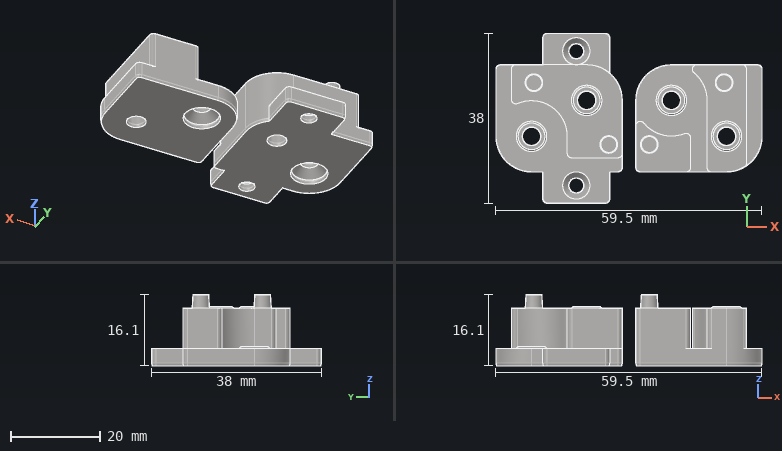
import cadquery as cq
import math

TOTAL_LENGTH = 59.55
HALF_LENGTH = 28.3
PLATE_WIDTH = 24.0
BASE_HEIGHT = 4.0
BLOCK_TOP = 13.0

PIVOT_RADIUS = 8.0
CORNER_RADIUS = 1.0
CHAMFER_HEIGHT = 0.7
CHAMFER_INSET = 0.2

BORE_RADIUS = 2.0
LIP_RADIUS = 2.1
BOSS_FOOT_RADIUS = 3.4
BOSS_TOP_RADIUS = 3.0
BOSS_HEIGHT = 0.4
HEAD_RADIUS = 4.0
HEAD_SEAT_DEPTH = 1.0

PIN_FOOT_RADIUS = 1.95
PIN_TOP_RADIUS = 1.8
PIN_HEIGHT = 3.05
UPPER_PIN_Y = 8.0
LOWER_PIN_Y = -5.85
UPPER_PIN_INSET = 8.5
LOWER_PIN_INSET = 3.05

TAB_WIDTH = 15.0
TAB_CENTER_X = 18.0
TAB_END_Y = 19.0
TAB_HOLE_Y = 15.0
TAB_HOLE_DIAMETER = 3.3
SINK_RADIUS = 3.05
SINK_STRAIGHT_DEPTH = 0.7

LEFT_BLOCK_INSET = 3.45
LEFT_BLOCK_FRONT_Y = -8.8
INNER_BLOCK_LENGTH = 12.25
OUTER_BLOCK_INSET = 3.5

SIDE_Y = PLATE_WIDTH / 2
TAB_HOLE_RADIUS = TAB_HOLE_DIAMETER / 2
RIGHT_START = TOTAL_LENGTH - HALF_LENGTH
BLOCK_HEIGHT = BLOCK_TOP - BASE_HEIGHT
PIVOT_Y = SIDE_Y - PIVOT_RADIUS
LEFT_BASE_PIVOT = (PIVOT_RADIUS, -PIVOT_Y)
LEFT_BLOCK_PIVOT = (HALF_LENGTH - PIVOT_RADIUS, PIVOT_Y)
RIGHT_BASE_PIVOT = (RIGHT_START + PIVOT_RADIUS, PIVOT_Y)
RIGHT_BLOCK_PIVOT = (TOTAL_LENGTH - PIVOT_RADIUS, -PIVOT_Y)


def round_upright_edges(solid, points, radius):
    """Fillet the upright edges that stand at the given plan points."""
    mid_z = solid.val().Center().z
    for x, y in points:
        edge = cq.selectors.NearestToPointSelector((x, y, mid_z))
        solid = solid.edges("|Z").edges(edge).fillet(radius)
    return solid


def plate(start_x, round_corners, small_corners):
    """Rectangular base plate with two large and two small corner radii."""
    body = cq.Workplane("XY").box(HALF_LENGTH, PLATE_WIDTH, BASE_HEIGHT, centered=(False, True, False))
    body = body.translate((start_x, 0, 0))
    body = round_upright_edges(body, round_corners, PIVOT_RADIUS)
    return round_upright_edges(body, small_corners, CORNER_RADIUS)


def tab_strip():
    """Strip across the left plate whose two ends form the mounting tabs."""
    strip = cq.Workplane("XY").box(TAB_WIDTH, 2 * TAB_END_Y, BASE_HEIGHT, centered=(True, True, False))
    return strip.translate((TAB_CENTER_X, 0, 0)).edges("|Z").fillet(CORNER_RADIUS)


def chamfer_underside(body):
    """Steep narrow chamfer all round the bottom edge."""
    return body.faces("<Z").edges().chamfer(CHAMFER_HEIGHT, CHAMFER_INSET)


def turned(profile, place, z):
    """Solid of revolution about an upright axis, from (radius, height) points."""
    solid = cq.Workplane("XZ").polyline(profile).close().revolve(360, (0, 0), (0, 1))
    return solid.translate((place[0], place[1], z))


def flared_foot(radius):
    """Profile points of a round opening that widens at the underside like the outer chamfer."""
    return [(0, 0), (radius + CHAMFER_INSET, 0), (radius, CHAMFER_HEIGHT)]


def add_boss(body, pivot, floor_z):
    """Raised conical boss with a bore through everything below it."""
    boss_profile = [(0, 0), (BOSS_FOOT_RADIUS, 0), (BOSS_TOP_RADIUS, BOSS_HEIGHT), (0, BOSS_HEIGHT)]
    boss = turned(boss_profile, pivot, floor_z)
    boss_top = floor_z + BOSS_HEIGHT
    bore_profile = flared_foot(BORE_RADIUS) + [
        (BORE_RADIUS, floor_z),
        (LIP_RADIUS, boss_top),
        (0, boss_top),
    ]
    bore = turned(bore_profile, pivot, 0)
    return body.union(boss).cut(bore)


def cut_head_recess(body, pivot):
    """Screw head recess in the underside, closing to the bore with a 45 degree cone."""
    cone_top = HEAD_SEAT_DEPTH + HEAD_RADIUS - BORE_RADIUS
    profile = flared_foot(HEAD_RADIUS) + [
        (HEAD_RADIUS, HEAD_SEAT_DEPTH),
        (BORE_RADIUS, cone_top),
        (0, cone_top),
    ]
    return body.cut(turned(profile, pivot, 0))


def pin(place):
    """Tapered locating pin standing on a block."""
    profile = [(0, 0), (PIN_FOOT_RADIUS, 0), (PIN_TOP_RADIUS, PIN_HEIGHT), (0, PIN_HEIGHT)]
    return turned(profile, place, BLOCK_TOP)


def socket(place):
    """Tapered blind hole that takes the pin of the other half."""
    profile = [(0, 0), (PIN_FOOT_RADIUS, 0), (PIN_TOP_RADIUS, -PIN_HEIGHT), (0, -PIN_HEIGHT)]
    return turned(profile, place, BLOCK_TOP)


def tab_hole(y):
    """Countersunk screw hole with a short straight entry above its cone."""
    sink_z = BASE_HEIGHT - SINK_STRAIGHT_DEPTH
    cone_bottom = sink_z - (SINK_RADIUS - TAB_HOLE_RADIUS)
    profile = flared_foot(TAB_HOLE_RADIUS) + [
        (TAB_HOLE_RADIUS, cone_bottom),
        (SINK_RADIUS, sink_z),
        (SINK_RADIUS, BASE_HEIGHT),
        (0, BASE_HEIGHT),
    ]
    return turned(profile, (TAB_CENTER_X, y), 0)


def point_on_circle(center, radius, degrees):
    """Plan point of a circle, at an angle measured from +X."""
    angle = math.radians(degrees)
    return (center[0] + radius * math.cos(angle), center[1] + radius * math.sin(angle))


def on_pivot_circle(pivot, degrees):
    """Point of the arm clearance circle around a pivot."""
    return point_on_circle(pivot, PIVOT_RADIUS, degrees)


def left_block():
    """L-shaped block wrapped around the clearance of the left base pivot."""
    pivot_x, pivot_y = LEFT_BASE_PIVOT
    inner_x = pivot_x + PIVOT_RADIUS
    arc_end_y = pivot_y + math.sqrt(PIVOT_RADIUS**2 - (pivot_x - LEFT_BLOCK_INSET) ** 2)
    block = (
        cq.Workplane("XY", origin=(0, 0, BASE_HEIGHT))
        .moveTo(LEFT_BLOCK_INSET, SIDE_Y)
        .lineTo(HALF_LENGTH, SIDE_Y)
        .lineTo(HALF_LENGTH, LEFT_BLOCK_FRONT_Y)
        .lineTo(inner_x, LEFT_BLOCK_FRONT_Y)
        .lineTo(inner_x, pivot_y)
        .threePointArc(on_pivot_circle(LEFT_BASE_PIVOT, 45), (LEFT_BLOCK_INSET, arc_end_y))
        .close()
        .extrude(BLOCK_HEIGHT)
    )
    block = round_upright_edges(block, [(HALF_LENGTH, SIDE_Y)], PIVOT_RADIUS)
    small_corners = [
        (LEFT_BLOCK_INSET, SIDE_Y),
        (LEFT_BLOCK_INSET, arc_end_y),
        (inner_x, LEFT_BLOCK_FRONT_Y),
        (HALF_LENGTH, LEFT_BLOCK_FRONT_Y),
    ]
    return round_upright_edges(block, small_corners, CORNER_RADIUS)


TIP_OFFSET = 2 * math.sqrt(PIVOT_RADIUS * CORNER_RADIUS)
TIP_ANGLE = math.degrees(math.atan2(TIP_OFFSET, PIVOT_RADIUS - CORNER_RADIUS))


def inner_block():
    """Block at the inner front corner of the right half, below the base pivot."""
    pivot_x, pivot_y = RIGHT_BASE_PIVOT
    end_x = RIGHT_START + INNER_BLOCK_LENGTH
    arc_end_y = pivot_y - math.sqrt(PIVOT_RADIUS**2 - (end_x - pivot_x) ** 2)
    tip_center = (RIGHT_START + CORNER_RADIUS, pivot_y - TIP_OFFSET)
    tip_mid = point_on_circle(tip_center, CORNER_RADIUS, 90 + TIP_ANGLE / 2)
    block = (
        cq.Workplane("XY", origin=(0, 0, BASE_HEIGHT))
        .moveTo(RIGHT_START, -SIDE_Y)
        .lineTo(RIGHT_START, tip_center[1])
        .threePointArc(tip_mid, on_pivot_circle(RIGHT_BASE_PIVOT, 180 + TIP_ANGLE))
        .threePointArc(on_pivot_circle(RIGHT_BASE_PIVOT, 270), (end_x, arc_end_y))
        .lineTo(end_x, -SIDE_Y)
        .close()
        .extrude(BLOCK_HEIGHT)
    )
    small_corners = [(RIGHT_START, -SIDE_Y), (end_x, arc_end_y), (end_x, -SIDE_Y)]
    return round_upright_edges(block, small_corners, CORNER_RADIUS)


def outer_block():
    """Block along the outer side of the right half, beside the base pivot."""
    pivot_x, pivot_y = RIGHT_BASE_PIVOT
    side_x = pivot_x + PIVOT_RADIUS
    end_x = TOTAL_LENGTH - OUTER_BLOCK_INSET
    corner_x, corner_y = RIGHT_BLOCK_PIVOT
    arc_end_y = corner_y - math.sqrt(PIVOT_RADIUS**2 - (end_x - corner_x) ** 2)
    arc_end_angle = math.degrees(math.atan2(arc_end_y - corner_y, end_x - corner_x))
    arc_mid_angle = (arc_end_angle - 90) / 2
    tip_center = (pivot_x + TIP_OFFSET, SIDE_Y - CORNER_RADIUS)
    tip_mid = point_on_circle(tip_center, CORNER_RADIUS, 180 - TIP_ANGLE / 2)
    clearance_mid = on_pivot_circle(RIGHT_BASE_PIVOT, (90 - TIP_ANGLE) / 2)
    clearance_end = on_pivot_circle(RIGHT_BASE_PIVOT, 90 - TIP_ANGLE)
    block = (
        cq.Workplane("XY", origin=(0, 0, BASE_HEIGHT))
        .moveTo(side_x, -SIDE_Y)
        .lineTo(side_x, pivot_y)
        .threePointArc(clearance_mid, clearance_end)
        .threePointArc(tip_mid, (tip_center[0], SIDE_Y))
        .lineTo(end_x, SIDE_Y)
        .lineTo(end_x, arc_end_y)
        .threePointArc(on_pivot_circle(RIGHT_BLOCK_PIVOT, arc_mid_angle), (corner_x, -SIDE_Y))
        .close()
        .extrude(BLOCK_HEIGHT)
    )
    small_corners = [(side_x, -SIDE_Y), (end_x, SIDE_Y), (end_x, arc_end_y)]
    return round_upright_edges(block, small_corners, CORNER_RADIUS)


def left_half():
    """Half with two mounting tabs and one L-shaped block."""
    body = plate(
        0,
        [(0, -SIDE_Y), (HALF_LENGTH, SIDE_Y)],
        [(0, SIDE_Y), (HALF_LENGTH, -SIDE_Y)],
    )
    body = chamfer_underside(body).union(chamfer_underside(tab_strip()))
    for y in (TAB_HOLE_Y, -TAB_HOLE_Y):
        body = body.cut(tab_hole(y))
    body = body.union(left_block())
    body = add_boss(body, LEFT_BASE_PIVOT, BASE_HEIGHT)
    body = add_boss(body, LEFT_BLOCK_PIVOT, BLOCK_TOP)
    body = cut_head_recess(body, LEFT_BASE_PIVOT)
    body = body.union(pin((UPPER_PIN_INSET, UPPER_PIN_Y)))
    return body.cut(socket((HALF_LENGTH - LOWER_PIN_INSET, LOWER_PIN_Y)))


def right_half():
    """Half with two separate blocks on a plain plate."""
    body = plate(
        RIGHT_START,
        [(RIGHT_START, SIDE_Y), (TOTAL_LENGTH, -SIDE_Y)],
        [(RIGHT_START, -SIDE_Y), (TOTAL_LENGTH, SIDE_Y)],
    )
    body = chamfer_underside(body)
    body = body.union(inner_block()).union(outer_block())
    body = add_boss(body, RIGHT_BASE_PIVOT, BASE_HEIGHT)
    body = add_boss(body, RIGHT_BLOCK_PIVOT, BLOCK_TOP)
    body = cut_head_recess(body, RIGHT_BASE_PIVOT)
    body = body.union(pin((RIGHT_START + LOWER_PIN_INSET, LOWER_PIN_Y)))
    return body.cut(socket((TOTAL_LENGTH - UPPER_PIN_INSET, UPPER_PIN_Y)))


result = cq.Compound.makeCompound([left_half().val(), right_half().val()])